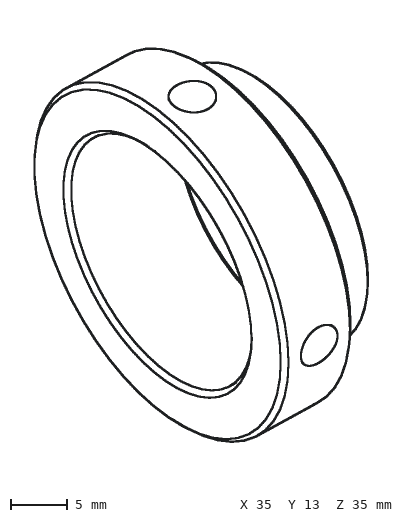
import cadquery as cq

collar_diameter = 35.0
collar_width = 8.0
hub_diameter = 27.5
total_width = 13.0
bore_diameter = 25.0
edge_chamfer = 0.5
hub_chamfer = 0.3
screw_hole_diameter = 4.2
screw_hole_y = collar_width / 2

collar_radius = collar_diameter / 2
hub_radius = hub_diameter / 2
bore_radius = bore_diameter / 2


def ring_body():
    """Collar and hub revolved about Y, with the bore and edge chamfers."""
    half_section = (
        cq.Workplane("XY")
        .moveTo(bore_radius + edge_chamfer, 0)
        .lineTo(collar_radius - edge_chamfer, 0)
        .lineTo(collar_radius, edge_chamfer)
        .lineTo(collar_radius, collar_width - edge_chamfer)
        .lineTo(collar_radius - edge_chamfer, collar_width)
        .lineTo(hub_radius, collar_width)
        .lineTo(hub_radius, total_width - hub_chamfer)
        .lineTo(hub_radius - hub_chamfer, total_width)
        .lineTo(bore_radius + hub_chamfer, total_width)
        .lineTo(bore_radius, total_width - hub_chamfer)
        .lineTo(bore_radius, edge_chamfer)
        .close()
    )
    return half_section.revolve(360, (0, 0, 0), (0, 1, 0))


def screw_hole(direction):
    """Radial cutter from the ring axis out through one side of the collar."""
    return cq.Workplane(
        cq.Solid.makeCylinder(
            screw_hole_diameter / 2,
            collar_diameter,
            cq.Vector(0, screw_hole_y, 0),
            direction,
        )
    )


result = ring_body()
for direction in (cq.Vector(0, 0, 1), cq.Vector(1, 0, 0)):
    result = result.cut(screw_hole(direction))